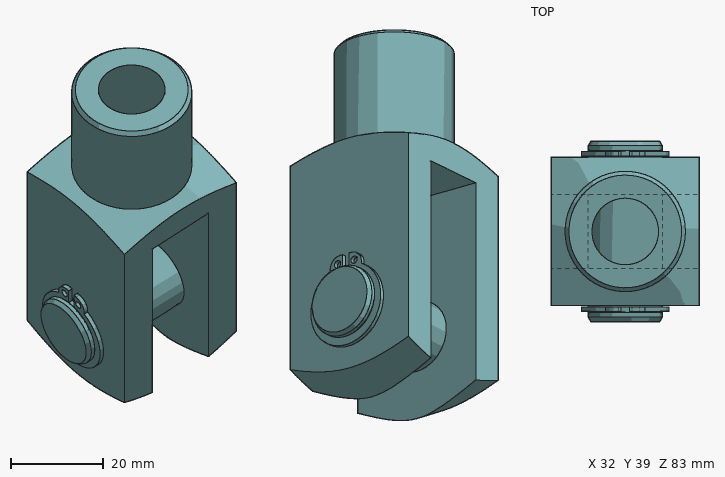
import cadquery as cq
import math

total_height = 83.0
body_width = 32.0
body_half = body_width / 2
neck_diameter = 26.0
neck_length = 24.1
neck_chamfer = 0.8
bore_diameter = 14.4
slot_width = body_width / 2
slot_top = 51.0
shoulder_slope = 0.41
tip_slope = 0.52

pin_diameter = 16.0
pin_length = 39.0
pin_height = 19.0
pin_chamfer_length = 1.0
pin_chamfer_depth = pin_chamfer_length * math.tan(math.radians(30))
groove_diameter = 15.2
groove_width = 1.25

ring_clearance = 0.25
ring_thickness = 1.0
ring_radius = 9.5
ring_drop = 0.37
ring_gap = 1.75
lug_half_width = 4.2
lug_corner_radius = 2.7
lug_top = 11.3
lug_hole_diameter = 1.7
lug_hole_x = 2.2
lug_hole_height = 9.4


def make_fork():
    """Square bar trimmed by top and bottom cones, with neck, bore and slot."""
    neck_radius = neck_diameter / 2
    neck_base = total_height - neck_length
    tip_radius = slot_width / 2
    outer_radius = body_width
    shoulder_edge = neck_base - shoulder_slope * (outer_radius - neck_radius)
    tip_edge = tip_slope * (outer_radius - tip_radius)

    envelope = (
        cq.Workplane("XZ")
        .moveTo(0, 0)
        .lineTo(tip_radius, 0)
        .lineTo(outer_radius, tip_edge)
        .lineTo(outer_radius, shoulder_edge)
        .lineTo(neck_radius, neck_base)
        .lineTo(neck_radius, total_height - neck_chamfer)
        .lineTo(neck_radius - neck_chamfer, total_height)
        .lineTo(0, total_height)
        .close()
        .revolve(360, (0, 0, 0), (0, 1, 0))
    )
    bar = cq.Workplane("XY").rect(body_width, body_width).extrude(total_height)
    bore = cq.Workplane("XY").circle(bore_diameter / 2).extrude(total_height)
    slot = cq.Workplane("XY").rect(body_width, slot_width).extrude(slot_top)
    return bar.intersect(envelope).cut(bore).cut(slot)


def make_pin():
    """Pin with chamfered ends and a ring groove outside each fork face."""
    radius = pin_diameter / 2
    end_radius = radius - pin_chamfer_depth
    groove_radius = groove_diameter / 2
    groove_start = body_half + ring_clearance
    groove_end = groove_start + groove_width
    half_length = pin_length / 2
    half_pin = (
        cq.Workplane("XY")
        .moveTo(0, 0)
        .lineTo(radius, 0)
        .lineTo(radius, groove_start)
        .lineTo(groove_radius, groove_start)
        .lineTo(groove_radius, groove_end)
        .lineTo(radius, groove_end)
        .lineTo(radius, half_length - pin_chamfer_length)
        .lineTo(end_radius, half_length)
        .lineTo(0, half_length)
        .close()
        .revolve(360, (0, 0, 0), (0, 1, 0))
    )
    return half_pin.union(half_pin.mirror("XZ")).translate((0, 0, pin_height))


def make_ring():
    """Eccentric open ring with two drilled lugs, on the -Y side of the fork."""
    corner_x = lug_half_width - lug_corner_radius
    corner_z = lug_top - lug_corner_radius
    corner_offset = lug_corner_radius * math.sqrt(0.5)

    face = cq.Workplane("XZ", origin=(0, -body_half - ring_clearance, pin_height))
    disc = face.center(0, -ring_drop).circle(ring_radius).extrude(ring_thickness)
    lugs = (
        face.moveTo(-lug_half_width, 0)
        .lineTo(lug_half_width, 0)
        .lineTo(lug_half_width, corner_z)
        .threePointArc((corner_x + corner_offset, corner_z + corner_offset), (corner_x, lug_top))
        .lineTo(-corner_x, lug_top)
        .threePointArc((-corner_x - corner_offset, corner_z + corner_offset), (-lug_half_width, corner_z))
        .close()
        .extrude(ring_thickness)
    )
    seat = face.circle(groove_diameter / 2).extrude(ring_thickness)
    gap = face.center(0, lug_top / 2).rect(ring_gap, lug_top).extrude(ring_thickness)
    holes = (
        face.pushPoints([(-lug_hole_x, lug_hole_height), (lug_hole_x, lug_hole_height)])
        .circle(lug_hole_diameter / 2)
        .extrude(ring_thickness)
    )
    return disc.union(lugs).cut(seat).cut(gap).cut(holes)


ring = make_ring()
result = make_fork().union(make_pin()).union(ring).union(ring.mirror("XZ"))